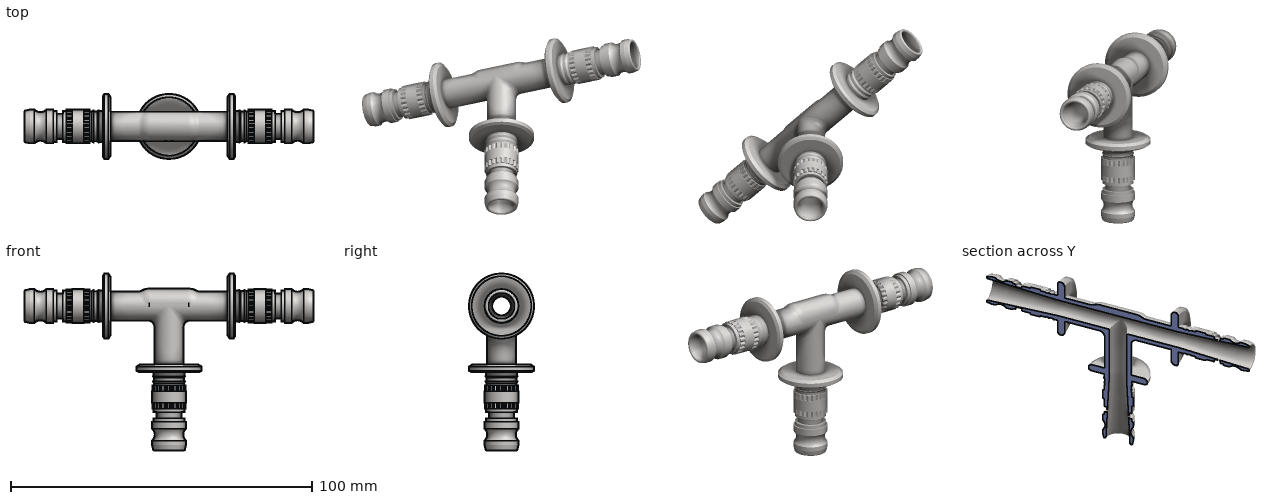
import cadquery as cq
import math

ARM_LENGTH = 48.0

TUBE_RADIUS = 4.9
HUMP_LIFT = 1.0
HUMP_HALF_LENGTH = 6.5
BLEND_RADIUS = 1.9

RIM_RADIUS = 5.4
BEAD_RADIUS = 5.7
WAIST_RADIUS = 4.8
COLLAR_RADIUS = 5.2
GROOVE_RADIUS = 4.2
NECK_RADIUS = 5.0
RIDGE_RADIUS = 5.4
FLANGE_RADIUS = 10.8

BORE_RADIUS = 3.1
MOUTH_RADIUS = 4.3
MOUTH_DEPTH = 25.8
LIP_ROUND = (RIM_RADIUS - MOUTH_RADIUS) / 2

RIM_END = 1.8
WAIST_START = 3.3
WAIST_END = 7.3
BEAD_END = 9.6
GROOVE_START = 10.8
GROOVE_END = 12.8
KNURL_START = 13.9
KNURL_END = 21.6
KNURL_BAND = 1.9
RIDGE_CRESTS = (22.9, 24.7)
RIDGE_RAMP = 0.6
FLANGE_START = 25.9
FLANGE_END = 28.6
FLANGE_OUTER_BEVEL = (0.6, 1.0)
FLANGE_INNER_BEVEL = (0.8, 1.2)

KNURL_COUNT = 20
KNURL_HALF_WIDTH = 0.7


def arm_profile():
    """Half section of one arm: (radius, height) with the open end at height zero."""
    profile = (
        cq.Workplane("XZ")
        .moveTo(0, LIP_ROUND)
        .lineTo(MOUTH_RADIUS, LIP_ROUND)
        .radiusArc((MOUTH_RADIUS + LIP_ROUND, 0), -LIP_ROUND)
        .radiusArc((RIM_RADIUS, LIP_ROUND), -LIP_ROUND)
        .lineTo(BEAD_RADIUS, RIM_END)
        .lineTo(BEAD_RADIUS, WAIST_START)
        .threePointArc((WAIST_RADIUS, (WAIST_START + WAIST_END) / 2), (BEAD_RADIUS, WAIST_END))
        .lineTo(BEAD_RADIUS, BEAD_END)
        .lineTo(COLLAR_RADIUS, BEAD_END)
        .lineTo(COLLAR_RADIUS, GROOVE_START)
        .lineTo(GROOVE_RADIUS, GROOVE_START)
        .lineTo(GROOVE_RADIUS, GROOVE_END)
        .lineTo(COLLAR_RADIUS, GROOVE_END)
        .lineTo(COLLAR_RADIUS, KNURL_START)
        .lineTo(BEAD_RADIUS, KNURL_START)
        .lineTo(BEAD_RADIUS, KNURL_END)
        .lineTo(NECK_RADIUS, KNURL_END)
    )
    for crest in RIDGE_CRESTS:
        profile = (
            profile.lineTo(NECK_RADIUS, crest - RIDGE_RAMP)
            .lineTo(RIDGE_RADIUS, crest)
            .lineTo(NECK_RADIUS, crest)
        )
    outer_axial, outer_radial = FLANGE_OUTER_BEVEL
    inner_axial, inner_radial = FLANGE_INNER_BEVEL
    return (
        profile.lineTo(COLLAR_RADIUS, RIDGE_CRESTS[-1])
        .lineTo(COLLAR_RADIUS, FLANGE_START)
        .lineTo(FLANGE_RADIUS - outer_radial, FLANGE_START)
        .lineTo(FLANGE_RADIUS, FLANGE_START + outer_axial)
        .lineTo(FLANGE_RADIUS, FLANGE_END - inner_axial)
        .lineTo(FLANGE_RADIUS - inner_radial, FLANGE_END)
        .lineTo(0, FLANGE_END)
        .close()
    )


def knurl_cutters():
    """V grooves of both knurled bands, spaced around the arm axis."""
    groove_bottom = COLLAR_RADIUS
    overshoot = BEAD_RADIUS + (BEAD_RADIUS - groove_bottom)
    groove = cq.Workplane("XY").polyline(
        [
            (groove_bottom, 0),
            (overshoot, 2 * KNURL_HALF_WIDTH),
            (overshoot, -2 * KNURL_HALF_WIDTH),
        ]
    ).close().extrude(KNURL_BAND)
    cutters = []
    for start in (KNURL_START, KNURL_END - KNURL_BAND):
        band = groove.translate((0, 0, start))
        for index in range(KNURL_COUNT):
            angle = index * 360 / KNURL_COUNT
            cutters.append(band.rotate((0, 0, 0), (0, 0, 1), angle).val())
    return cq.Compound.makeCompound(cutters)


def arm_end():
    """End fitting of one arm, from its open end up to the inner side of the flange."""
    fitting = arm_profile().revolve(360, (0, 0, 0), (0, 1, 0))
    return fitting.cut(cq.Workplane(obj=knurl_cutters()))


def arm_bore():
    """Flared mouth followed by a plain bore that reaches the junction."""
    return (
        cq.Workplane("XZ")
        .moveTo(0, 0)
        .lineTo(MOUTH_RADIUS, 0)
        .lineTo(BORE_RADIUS, MOUTH_DEPTH)
        .lineTo(BORE_RADIUS, ARM_LENGTH)
        .lineTo(0, ARM_LENGTH)
        .close()
        .revolve(360, (0, 0, 0), (0, 1, 0))
    )


def on_all_arms(piece):
    """Copies of a piece on the -Z, -X and +X arms."""
    down = piece.translate((0, 0, -ARM_LENGTH))
    return [down.rotate((0, 0, 0), (0, 1, 0), turn) for turn in (0, 90, -90)]


def raised_back(run):
    """The run with a second, lifted round back whose ends are spherical, blended into the run."""
    lift = (0, 0, HUMP_LIFT)
    back = cq.Workplane("YZ").circle(TUBE_RADIUS).extrude(HUMP_HALF_LENGTH, both=True).translate(lift)
    for side in (-1, 1):
        ball = cq.Workplane("XY").sphere(TUBE_RADIUS)
        back = back.union(ball.translate((side * HUMP_HALF_LENGTH, 0, HUMP_LIFT)))
    flanks = cq.Workplane("XY").box(
        2 * HUMP_HALF_LENGTH, 2 * TUBE_RADIUS, HUMP_LIFT, centered=(True, True, False)
    )
    body = run.union(flanks).union(back)
    return body.edges("%BSPLINE").fillet(BLEND_RADIUS)


def branch_blend():
    """Rolling-ball fillet between the branch and the -X half of the run.

    The two tubes have the same radius, so the ball centre follows an ellipse in the plane
    x = z, and the fillet shrinks to nothing where the tubes touch at the sides.
    """
    ball_offset = TUBE_RADIUS + BLEND_RADIUS
    mitre = cq.Plane(origin=(0, 0, 0), xDir=(0, 1, 0), normal=(1, 0, -1))

    chord_reach = (TUBE_RADIUS + ball_offset) / math.sqrt(2)
    chords = cq.Workplane(mitre).ellipse(TUBE_RADIUS, chord_reach).extrude(ball_offset, both=True)
    far = 2 * ball_offset
    near = 2 * TUBE_RADIUS
    wedge_outline = [(0, 0), (-far, -near), (-near, -far)]
    wedge = cq.Workplane("XZ").polyline(wedge_outline).close().extrude(near, both=True)

    path = cq.Workplane(mitre).ellipseArc(
        ball_offset, ball_offset * math.sqrt(2), 180, 360, startAtCurrent=False
    )
    start = path.val().positionAt(0)
    section = cq.Plane(origin=start, xDir=mitre.zDir, normal=path.val().tangentAt(0))
    ball_sweep = cq.Workplane(section).circle(BLEND_RADIUS).sweep(path)
    return chords.intersect(wedge).cut(ball_sweep)


def junction():
    """Run and branch tubes with the raised back and the fillets under the run."""
    reach = ARM_LENGTH - FLANGE_END
    run = cq.Workplane("YZ").circle(TUBE_RADIUS).extrude(reach, both=True)
    branch = cq.Workplane("XY").circle(TUBE_RADIUS).extrude(-reach)
    blend = branch_blend()
    return raised_back(run).union(branch).union(blend).union(blend.mirror("YZ"))


fittings = on_all_arms(arm_end())
bores = on_all_arms(arm_bore())

result = junction()
for fitting in fittings:
    result = result.union(fitting)
for bore in bores:
    result = result.cut(bore)